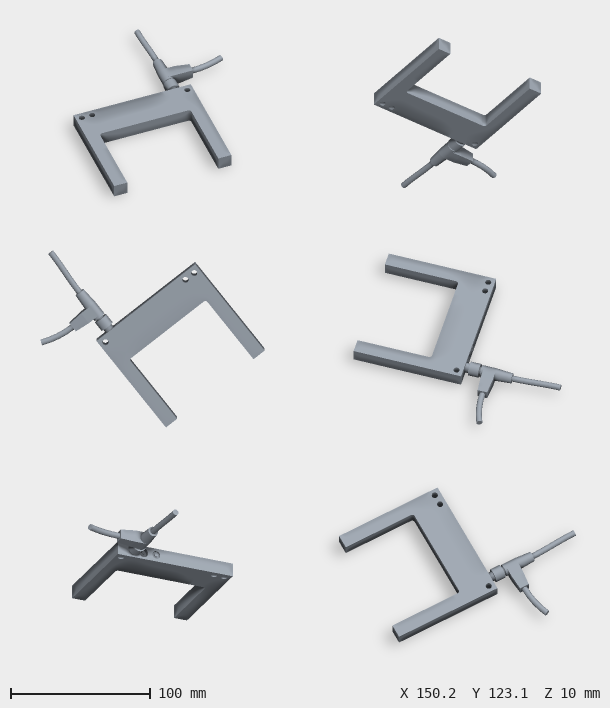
import cadquery as cq
import math


THICKNESS = 10.0
FORK_LENGTH = 80.0
FORK_WIDTH = 90.0
BRIDGE_DEPTH = 25.1
ARM_WIDTH = THICKNESS
INNER_CORNER_RADIUS = 2.0
TOP_EDGE_Y = FORK_WIDTH / 2

MOUNT_HOLE_DIAMETER = 4.4
MOUNT_HOLE_X = 4.7
MOUNT_HOLE_EDGE_GAP = 4.5
MOUNT_HOLE_PITCH = 8.0

SOCKET_Y = TOP_EDGE_Y - 12.0
ADJUSTER_Y = TOP_EDGE_Y - 20.0
INDICATOR_Y = TOP_EDGE_Y - 30.0
SOCKET_DIAMETER = 7.0
SOCKET_LENGTH = 3.0
ADJUSTER_DIAMETER = 7.0
ADJUSTER_DEPTH = 3.0
ADJUSTER_BORE_DIAMETER = 2.5
ADJUSTER_BORE_DEPTH = 0.5
INDICATOR_DIAMETER = 6.0
INDICATOR_DEPTH = 1.0
INDICATOR_PIN_DIAMETER = 2.5

LENS_DIAMETER = 6.0
LENS_THICKNESS = 1.5
LENS_X = FORK_LENGTH - 5.0
ARM_INNER_Y = TOP_EDGE_Y - ARM_WIDTH

NUT_DIAMETER = 10.0
NUT_LENGTH = 7.5
NECK_DIAMETER = 6.5
NECK_LENGTH = 1.2
PLUG_DIAMETER = 9.0
PLUG_LENGTH = 10.8
BOOT_END_DIAMETER = 7.4
BOOT_LENGTH = 12.2

NUT_FRONT_X = -SOCKET_LENGTH
NUT_BACK_X = NUT_FRONT_X - NUT_LENGTH
PLUG_FRONT_X = NUT_BACK_X - NECK_LENGTH
PLUG_BACK_X = PLUG_FRONT_X - PLUG_LENGTH
BOOT_END_X = PLUG_BACK_X - BOOT_LENGTH

OUTLET_SIDE = PLUG_DIAMETER
OUTLET_END_SIDE = 7.0
OUTLET_SHOULDER = 8.3
OUTLET_LENGTH = 19.4
OUTLET_X = PLUG_BACK_X + OUTLET_SIDE / 2
OUTLET_END_Y = SOCKET_Y + OUTLET_LENGTH

CABLE_DIAMETER = 4.4
STRAIGHT_CABLE_REACH = 35.5
STRAIGHT_CABLE_OFFSET = 1.8
ANGLED_CABLE_REACH = 24.8
ANGLED_CABLE_BEND_RADIUS = 63.5


def rear_cylinder(y, start_x, length, diameter):
    """Cylinder along +X, centred on the mid-thickness at the given Y."""
    return (
        cq.Workplane("YZ", origin=(start_x, y, 0))
        .circle(diameter / 2)
        .extrude(length)
    )


def lens_shape():
    return (
        cq.Workplane("XZ", origin=(LENS_X, ARM_INNER_Y, 0))
        .circle(LENS_DIAMETER / 2)
        .extrude(-LENS_THICKNESS)
    )


def fork_blank():
    blank = cq.Workplane("XY").box(
        FORK_LENGTH, FORK_WIDTH, THICKNESS, centered=(False, True, True)
    )
    gap = (
        cq.Workplane("XY")
        .box(
            FORK_LENGTH - BRIDGE_DEPTH,
            FORK_WIDTH - 2 * ARM_WIDTH,
            THICKNESS,
            centered=(False, True, True),
        )
        .translate((BRIDGE_DEPTH, 0, 0))
        .edges("|Z and <X")
        .fillet(INNER_CORNER_RADIUS)
    )
    return blank.cut(gap)


def mounting_holes():
    corner_y = TOP_EDGE_Y - MOUNT_HOLE_EDGE_GAP
    hole_ys = [corner_y, -corner_y, -corner_y + MOUNT_HOLE_PITCH]
    return (
        cq.Workplane("XY")
        .pushPoints([(MOUNT_HOLE_X, y) for y in hole_ys])
        .circle(MOUNT_HOLE_DIAMETER / 2)
        .extrude(THICKNESS, both=True)
    )


def adjuster_recess():
    recess = rear_cylinder(ADJUSTER_Y, 0, ADJUSTER_DEPTH, ADJUSTER_DIAMETER)
    bore = rear_cylinder(ADJUSTER_Y, ADJUSTER_DEPTH, ADJUSTER_BORE_DEPTH, ADJUSTER_BORE_DIAMETER)
    return recess.union(bore)


def indicator_recess():
    """Shallow round recess that leaves a pin standing at its centre."""
    recess = rear_cylinder(INDICATOR_Y, 0, INDICATOR_DEPTH, INDICATOR_DIAMETER)
    pin = rear_cylinder(INDICATOR_Y, 0, INDICATOR_DEPTH, INDICATOR_PIN_DIAMETER)
    return recess.cut(pin)


def housing_shape():
    socket = rear_cylinder(SOCKET_Y, -SOCKET_LENGTH, SOCKET_LENGTH, SOCKET_DIAMETER)
    return (
        fork_blank()
        .union(socket)
        .cut(mounting_holes())
        .cut(adjuster_recess())
        .cut(indicator_recess())
        .cut(lens_shape())
    )


def cable_along(path, start, direction):
    """Round cable swept along `path`, which leaves `start` in the given direction."""
    section = cq.Workplane(cq.Plane(origin=start, xDir=(0, 0, 1), normal=direction))
    return section.circle(CABLE_DIAMETER / 2).sweep(cq.Workplane(path))


def straight_cable():
    """Cable in a slight S-bend that leaves the boot and ends parallel to the X axis."""
    start = (BOOT_END_X, SOCKET_Y, 0)
    end = (BOOT_END_X - STRAIGHT_CABLE_REACH, SOCKET_Y - STRAIGHT_CABLE_OFFSET, 0)
    rearward = cq.Vector(-1, 0, 0)
    path = cq.Edge.makeSpline(
        [cq.Vector(*start), cq.Vector(*end)], tangents=[rearward, rearward]
    )
    return cable_along(path, start, rearward)


def angled_cable():
    """Cable that leaves the outlet along +Y and bends towards -X on an arc."""
    start = (OUTLET_X, OUTLET_END_Y, 0)
    bend_angle = math.asin(ANGLED_CABLE_REACH / ANGLED_CABLE_BEND_RADIUS)

    def arc_point(angle):
        return cq.Vector(
            OUTLET_X - ANGLED_CABLE_BEND_RADIUS * (1 - math.cos(angle)),
            OUTLET_END_Y + ANGLED_CABLE_BEND_RADIUS * math.sin(angle),
            0,
        )

    path = cq.Edge.makeThreePointArc(
        arc_point(0), arc_point(bend_angle / 2), arc_point(bend_angle)
    )
    return cable_along(path, start, cq.Vector(0, 1, 0))


def straight_connector_shape():
    """Turned body of nut, neck, plug and tapered boot, with its cable."""
    profile = [
        (NUT_FRONT_X, 0),
        (NUT_FRONT_X, NUT_DIAMETER / 2),
        (NUT_BACK_X, NUT_DIAMETER / 2),
        (NUT_BACK_X, NECK_DIAMETER / 2),
        (PLUG_FRONT_X, NECK_DIAMETER / 2),
        (PLUG_FRONT_X, PLUG_DIAMETER / 2),
        (PLUG_BACK_X, PLUG_DIAMETER / 2),
        (BOOT_END_X, BOOT_END_DIAMETER / 2),
        (BOOT_END_X, 0),
    ]
    body = (
        cq.Workplane("XY", origin=(0, SOCKET_Y, 0))
        .polyline(profile)
        .close()
        .revolve(360, (0, 0, 0), (1, 0, 0))
    )
    return body.union(straight_cable())


def angled_outlet_shape():
    """Square block that straddles the plug, tapers to its end and carries a cable."""
    half_side = OUTLET_SIDE / 2
    saddle = (
        cq.Workplane("YZ", origin=(PLUG_BACK_X, SOCKET_Y, 0))
        .moveTo(0, half_side)
        .threePointArc((PLUG_DIAMETER / 2, 0), (0, -half_side))
        .lineTo(OUTLET_SHOULDER, -half_side)
        .lineTo(OUTLET_SHOULDER, half_side)
        .close()
        .extrude(OUTLET_SIDE)
    )
    taper = (
        cq.Workplane("XZ", origin=(OUTLET_X, SOCKET_Y + OUTLET_SHOULDER, 0))
        .rect(OUTLET_SIDE, OUTLET_SIDE)
        .workplane(offset=OUTLET_SHOULDER - OUTLET_LENGTH)
        .rect(OUTLET_END_SIDE, OUTLET_END_SIDE)
        .loft()
    )
    return saddle.union(taper).union(angled_cable())


housing = housing_shape().solids()
lens = lens_shape().solids()
straight_connector = straight_connector_shape().solids()
angled_outlet = angled_outlet_shape().solids()

result = cq.Compound.makeCompound(
    [housing.val(), lens.val(), straight_connector.val(), angled_outlet.val()]
)